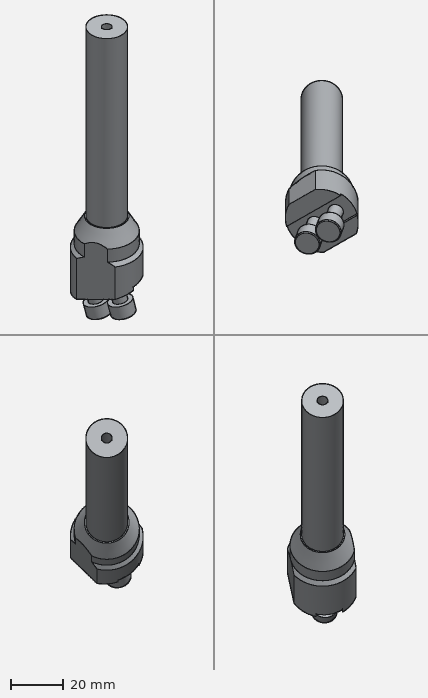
import cadquery as cq
import math


shank_radius = 8.0
shank_length = 88.0
bore_radius = 2.0
bore_depth = 27.1
cone_top_radius = 8.5
collar_radius = 12.5
head_radius = 14.0
head_height = 17.1
shoulder_height = head_radius - collar_radius
collar_height = 6.1
cone_height = 6.9
back_flat_offset = collar_radius
front_flat_offset = 11.5

tilt = 14.0
slot_width = 10.3
slot_depth = 1.6

screw_radius = 3.0
screw_head_radius = 5.0
screw_head_height = 6.0
screw_head_chamfer = 0.4
screw_reach = 13.5
screw_grip = 8.1
screw_spacing = 10.3
screw_pair_offset = -1.4
screw_positions = [screw_pair_offset + side * screw_spacing / 2 for side in (-1, 1)]

collar_bottom = head_height + shoulder_height
cone_bottom = collar_bottom + collar_height
cone_top = cone_bottom + cone_height
shank_top = cone_top + shank_length
lowest_level = -2 * head_radius * math.tan(math.radians(tilt))


def slanted(shape):
    """Turn a shape drawn square to the bar axis onto the slanted end face."""
    return shape.rotate((0, 0, 0), (0, 1, 0), -tilt)


def make_turned_blank():
    return (
        cq.Workplane("XZ")
        .moveTo(0, lowest_level)
        .lineTo(head_radius, lowest_level)
        .lineTo(head_radius, head_height)
        .lineTo(collar_radius, collar_bottom)
        .lineTo(collar_radius, cone_bottom)
        .lineTo(cone_top_radius, cone_top)
        .lineTo(shank_radius, cone_top)
        .lineTo(shank_radius, shank_top)
        .lineTo(0, shank_top)
        .close()
        .revolve(360, (0, 0, 0), (0, 1, 0))
    )


def make_flats_envelope():
    """Block whose long sides trim the head: deeper at the front, level with the collar at the back."""
    flat_spacing = front_flat_offset + back_flat_offset
    flat_middle = (back_flat_offset - front_flat_offset) / 2
    return (
        cq.Workplane("XY", origin=(0, flat_middle, lowest_level))
        .rect(2 * head_radius, flat_spacing)
        .extrude(shank_top - lowest_level)
    )


def make_end_cutter():
    """Everything below the slanted face, plus the slot cut across it."""
    cutter_size = 4 * head_radius
    below_face = cq.Workplane("XY").rect(cutter_size, cutter_size).extrude(-cutter_size)
    slot = cq.Workplane("XY").rect(cutter_size, slot_width).extrude(slot_depth)
    return slanted(below_face.union(slot))


def make_bore():
    return cq.Workplane("XY").workplane(offset=shank_top).circle(bore_radius).extrude(-bore_depth)


def make_screw(position):
    """Cap screw with its head hanging below the slanted face and its shank in the bar."""
    head = (
        cq.Workplane("XY", origin=(position, 0, -screw_reach))
        .circle(screw_head_radius)
        .extrude(screw_head_height)
        .faces("<Z")
        .chamfer(screw_head_chamfer)
    )
    shank = (
        cq.Workplane("XY", origin=(position, 0, screw_head_height - screw_reach))
        .circle(screw_radius)
        .extrude(screw_reach - screw_head_height + screw_grip)
    )
    return slanted(head.union(shank))


screws = [make_screw(position) for position in screw_positions]

boring_bar = make_turned_blank().intersect(make_flats_envelope())
boring_bar = boring_bar.cut(make_end_cutter()).cut(make_bore())
for screw in screws:
    boring_bar = boring_bar.cut(screw)

result = cq.Compound.makeCompound([boring_bar.val(), *[screw.val() for screw in screws]])